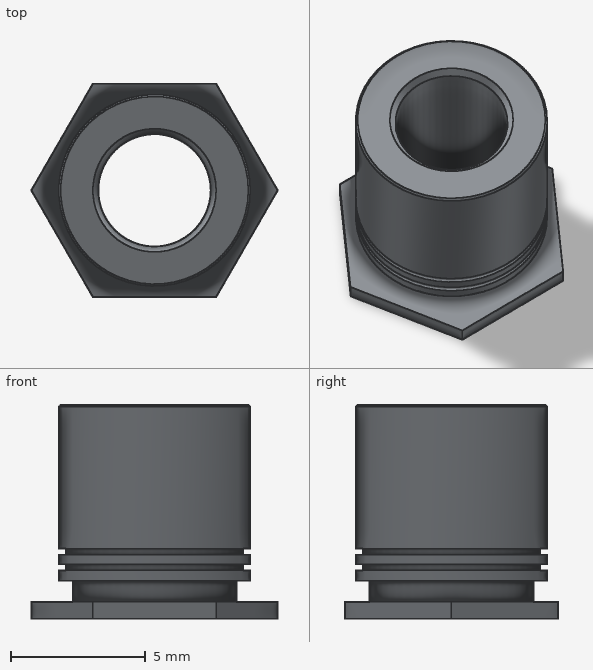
import cadquery as cq

hex_across_corners = 9.15
head_height = 0.63

total_height = 7.94
body_diameter = 7.11
neck_diameter = 6.09
groove_diameter = 6.61
top_chamfer = 0.07

neck_top = 1.41
lower_groove_bottom = 1.79
upper_groove_bottom = 2.38
groove_width = 0.23

bore_diameter = 4.16
bore_mouth_diameter = 4.575
bore_chamfer = (bore_mouth_diameter - bore_diameter) / 2


def cylinder(diameter, bottom, top):
    """Vertical cylinder on the Z axis between two heights."""
    return cq.Workplane("XY").workplane(offset=bottom).circle(diameter / 2).extrude(top - bottom)


def groove_cutter(bottom):
    """Ring that cuts one groove around the body."""
    top = bottom + groove_width
    return cylinder(hex_across_corners, bottom, top).cut(cylinder(groove_diameter, bottom, top))


head = cq.Workplane("XY").polygon(6, hex_across_corners).extrude(head_height)
neck = cylinder(neck_diameter, 0, neck_top)
body = cylinder(body_diameter, neck_top, total_height).faces(">Z").edges().chamfer(top_chamfer)

for groove_bottom in (lower_groove_bottom, upper_groove_bottom):
    body = body.cut(groove_cutter(groove_bottom))

result = head.union(neck).union(body)

result = result.cut(cylinder(bore_diameter, 0, total_height))
result = result.faces(">Z").edges(cq.selectors.RadiusNthSelector(0)).chamfer(bore_chamfer)